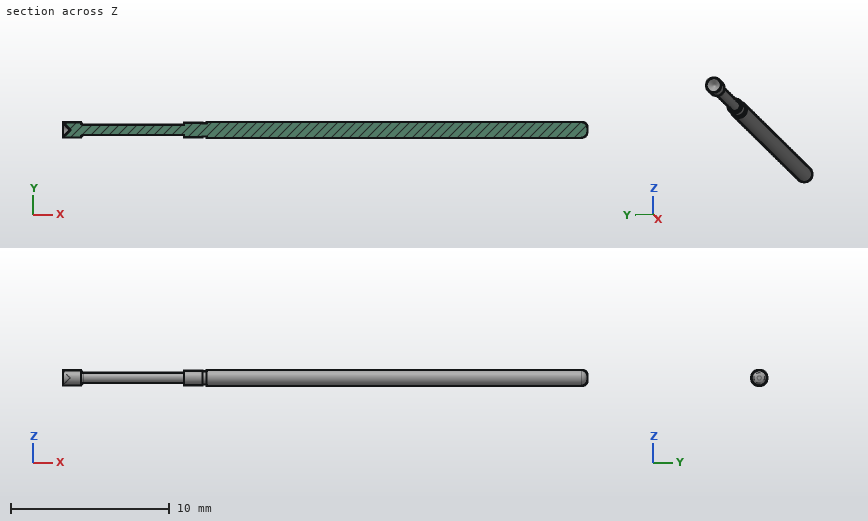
import cadquery as cq
import math


barrel_diameter = 1.02
collar_diameter = 0.93
head_diameter = 0.97
stem_diameter = 0.66
groove_diameter = 0.86

head_end = 1.15
collar_start = 7.62
collar_end = 8.80
barrel_start = 9.05
overall_length = 33.02

stem_fillet = 0.15
tail_radius = 0.38
cup_diameter = 0.91
cup_angle = 90.0

diagonal = math.sqrt(0.5)


def revolve_about_x(profile):
    """Turn a closed half-profile in the XZ plane a full circle about the X axis."""
    return profile.revolve(360, (0, 0, 0), (1, 0, 0))


def make_body():
    """Stepped body: head, filleted stem, collar, groove and round-tailed barrel."""
    barrel_radius = barrel_diameter / 2
    collar_radius = collar_diameter / 2
    head_radius = head_diameter / 2
    stem_radius = stem_diameter / 2
    groove_radius = groove_diameter / 2

    fillet_end = head_end + stem_fillet
    fillet_top = stem_radius + stem_fillet
    fillet_mid = (
        fillet_end - stem_fillet * diagonal,
        fillet_top - stem_fillet * diagonal,
    )

    tail_start = overall_length - tail_radius
    tail_flat_radius = barrel_radius - tail_radius
    tail_mid = (
        tail_start + tail_radius * diagonal,
        tail_flat_radius + tail_radius * diagonal,
    )

    profile = (
        cq.Workplane("XZ")
        .moveTo(0, 0)
        .lineTo(0, head_radius)
        .lineTo(head_end, head_radius)
        .lineTo(head_end, fillet_top)
        .threePointArc(fillet_mid, (fillet_end, stem_radius))
        .lineTo(collar_start, stem_radius)
        .lineTo(collar_start, collar_radius)
        .lineTo(collar_end, collar_radius)
        .lineTo(collar_end, groove_radius)
        .lineTo(barrel_start, groove_radius)
        .lineTo(barrel_start, barrel_radius)
        .lineTo(tail_start, barrel_radius)
        .threePointArc(tail_mid, (overall_length, tail_flat_radius))
        .lineTo(overall_length, 0)
        .close()
    )
    return revolve_about_x(profile)


def make_cup():
    """Conical recess in the contact tip, narrowing toward +X."""
    cup_radius = cup_diameter / 2
    cup_depth = cup_radius / math.tan(math.radians(cup_angle / 2))
    profile = (
        cq.Workplane("XZ")
        .moveTo(0, 0)
        .lineTo(0, cup_radius)
        .lineTo(cup_depth, 0)
        .close()
    )
    return revolve_about_x(profile)


result = make_body().cut(make_cup())